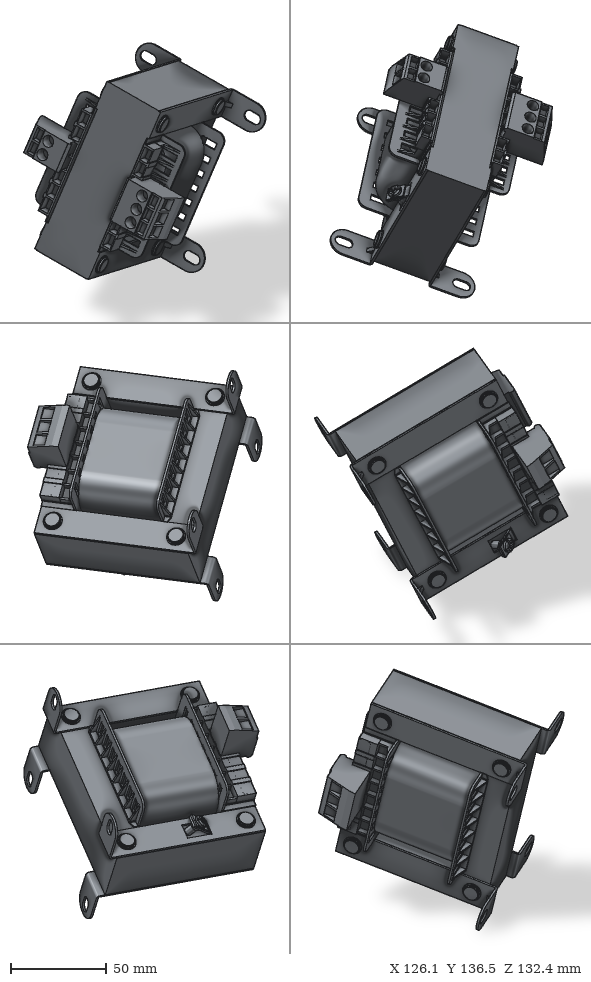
import cadquery as cq
import math


TURN = 43.0
TILT = -23.3

CORE_THICK = 32.0
CORE_DEPTH = 85.2
CORE_HEIGHT = 101.5
CORE_FACE = CORE_THICK / 2
CORE_END = CORE_DEPTH / 2
WINDOW_HALF_HEIGHT = 34.2

SHEET = 1.2
STRAP_FACE = CORE_FACE + SHEET
STRAP_WIDTH = 16.1
STRAP_Z = 42.4
STRAP_REACH = 47.2
FOOT_TIP = 40.7
BEND_RADIUS = 1.9
FOOT_SLOT_X = 33.4
FOOT_SLOT_LENGTH = 9.8
FOOT_SLOT_WIDTH = 5.7
GUSSET_LEG = 3.3
GUSSET_WIDTH = 2.6

RIVET_Y = 34.2
RIVET_FLANGE_RADIUS = 5.0
RIVET_FLANGE_HEIGHT = 0.7
RIVET_HEAD_RADIUS = 4.4
RIVET_HEIGHT = 2.0
RIVET_CHAMFER = 0.4

COIL_SHIFT = -1.4
COIL_HALF_WIDTH = 27.1
COIL_HALF_HEIGHT = 29.4
COIL_RADIUS = 15.0
FLANGE_INNER = 23.5
FLANGE_OUTER = FLANGE_INNER + SHEET
FLANGE_HALF_WIDTH = 34.0
FLANGE_HALF_HEIGHT = 33.8
FLANGE_RADIUS = 5.0
PITCH = 8.6
PINS = 7
FLANGE_SLOT_INNER = 19.7
FLANGE_SLOT_OUTER = 29.1
FLANGE_SLOT_HEIGHT = 3.7
TRAY_SHIFT = -0.5
TRAY_BASE = 16.5
TRAY_FACE = 17.9
TRAY_HALF_HEIGHT = 31.0
TRAY_LIP = 17.2
FOOT_TRAY_END = 28.3
FOOT_TRAY_CHAMFER = (1.6, 3.3)
TERMINAL_TRAY_END = CORE_END + 0.4
RIB_THICK = 1.1
RIB_OUTER = 30.1
RIB_SHELF = 21.3
RIB_SHELF_START = 27.5

HOUSING_START = 32.7
HOUSING_END = 43.3
HOUSING_FACE = 23.1
HOUSING_STRIP_FACE = 23.8
HOUSING_STRIP_WIDTH = 2.7
HOUSING_HALF_HEIGHT = 30.8
HOUSING_CELL = (17.6, 22.4)
HOUSING_CELL_HEIGHT = 7.5
HOUSING_CELL_DEPTH = 6.8

POLE_PITCH = 8.0
BLOCK_MARGIN = 0.4
BLOCK_INNER = 19.5
BLOCK_BACK = 33.1
BLOCK_FRONT = 51.8
BLOCK_OUTER = 45.8
SLOPE_TOP = (45.3, 36.9)
SLOPE_BOTTOM = 40.6
STEP_X = 34.5
STEP_DEPTH = 0.7
BEAD_RADIUS = 1.6
BEAD_CENTRE = (19.8, 49.9)
WIRE_HOLE_X = 30.2
WIRE_HOLE_DIAMETER = 6.3
WIRE_HOLE_DEPTH = 8.2
POCKET_HEIGHT = 6.8
FRONT_POCKET = (34.9, 39.0)
FRONT_POCKET_DEPTH = 4.1
SCREW_POCKET_Y = (41.3, 48.1)
SCREW_POCKET_FLOOR = 40.5
LOW_BLOCK_Z = 0.0
HIGH_BLOCK_Z = PITCH / 2 + 0.1

EARTH_Z = -42.4
EARTH_WINDOW = (-13.1, 0.8)
EARTH_WINDOW_HEIGHT = 9.0
EARTH_TAB_CENTRE = (-20.8, -7.0)
EARTH_TAB_ANGLE = 50.0
EARTH_TAB_LENGTH = 13.7
EARTH_TAB_WIDTH = 7.1
EARTH_SCREW_OFFSET = 1.6
EARTH_PLATE_LENGTH = 10.5
EARTH_PLATE_WIDTH = 7.8
EARTH_PLATE_THICK = 1.0
EARTH_SCREW_LENGTH = 7.5
EARTH_SCREW_RADIUS = 2.2
EARTH_CONE_HEIGHT = 2.2
EARTH_HEAD_RADIUS = 3.7
EARTH_HEAD_CHAMFER = 1.0
EARTH_HEAD_HEIGHT = 2.2
CROSS_WIDTH = 1.1
CROSS_DEPTH = 1.4


def span_box(x, y, z):
    """Box between the given (low, high) pairs."""
    corner = cq.Workplane("XY").box(x[1] - x[0], y[1] - y[0], z[1] - z[0], centered=False)
    return corner.translate((x[0], y[0], z[0]))


def slab(points, z_middle, thickness):
    """Outline in X and Y, thickened evenly about a height."""
    base = cq.Workplane("XY", origin=(0, 0, z_middle - thickness / 2))
    return base.polyline(points).close().extrude(thickness)


def about(middle, size):
    return (middle - size / 2, middle + size / 2)


def pin_heights(count):
    return [PITCH * (i - (count - 1) / 2) for i in range(count)]


def make_core():
    core = cq.Workplane("XY").box(CORE_THICK, CORE_DEPTH, CORE_HEIGHT)
    window = cq.Workplane("XY").box(CORE_THICK, 2 * FLANGE_OUTER, 2 * WINDOW_HALF_HEIGHT)
    return core.cut(window)


def make_coil():
    coil = cq.Workplane("XY").box(2 * COIL_HALF_WIDTH, 2 * FLANGE_INNER, 2 * COIL_HALF_HEIGHT)
    return coil.edges("|Y").fillet(COIL_RADIUS).translate((COIL_SHIFT, 0, 0))


def make_strap(z_middle):
    """Strap on the +X face with its foot, gusset and two rivets."""
    foot_face = STRAP_REACH - SHEET
    strap = slab(
        [
            (CORE_FACE, -CORE_END),
            (STRAP_FACE, -CORE_END),
            (STRAP_FACE, foot_face),
            (FOOT_TIP, foot_face),
            (FOOT_TIP, STRAP_REACH),
            (CORE_FACE, STRAP_REACH),
        ],
        z_middle,
        STRAP_WIDTH,
    )
    strap = strap.edges("|Z and >Y and <X").fillet(BEND_RADIUS)
    strap = strap.edges("|Y and >X").fillet(STRAP_WIDTH / 2 - 0.01)
    slot = (
        cq.Workplane("XZ", origin=(FOOT_SLOT_X, STRAP_REACH, z_middle))
        .slot2D(FOOT_SLOT_LENGTH, FOOT_SLOT_WIDTH)
        .extrude(SHEET)
    )
    gusset = slab(
        [
            (STRAP_FACE, foot_face),
            (STRAP_FACE + GUSSET_LEG, foot_face),
            (STRAP_FACE, foot_face - GUSSET_LEG),
        ],
        z_middle,
        GUSSET_WIDTH,
    )
    strap = strap.cut(slot).union(gusset)
    for y in (-RIVET_Y, RIVET_Y):
        strap = strap.union(make_rivet(y, z_middle))
    return strap


def make_rivet(y, z):
    seat = cq.Workplane("YZ", origin=(STRAP_FACE, y, z))
    head = seat.circle(RIVET_HEAD_RADIUS).extrude(RIVET_HEIGHT).faces(">X").chamfer(RIVET_CHAMFER)
    return head.union(seat.circle(RIVET_FLANGE_RADIUS).extrude(RIVET_FLANGE_HEIGHT))


def make_flange():
    """Bobbin flange on the +Y end, with a row of slots on both sides of the core."""
    flange = (
        cq.Workplane("XY")
        .box(2 * FLANGE_HALF_WIDTH, SHEET, 2 * FLANGE_HALF_HEIGHT)
        .edges("|Y")
        .fillet(FLANGE_RADIUS)
        .translate((COIL_SHIFT, FLANGE_INNER + SHEET / 2, 0))
    )
    for z in pin_heights(PINS):
        for x in ((FLANGE_SLOT_INNER, FLANGE_SLOT_OUTER), (-FLANGE_SLOT_OUTER, -FLANGE_SLOT_INNER)):
            flange = flange.cut(span_box(x, (FLANGE_INNER, FLANGE_OUTER), about(z, FLANGE_SLOT_HEIGHT)))
    return flange


def make_foot_tray():
    """Bobbin floor and ribs beyond the +Y flange, on the +X side."""
    chamfer_y, chamfer_z = FOOT_TRAY_CHAMFER
    floor = (
        cq.Workplane("YZ", origin=(TRAY_BASE, 0, 0))
        .moveTo(FLANGE_INNER, -WINDOW_HALF_HEIGHT)
        .lineTo(FOOT_TRAY_END - chamfer_y, -WINDOW_HALF_HEIGHT)
        .lineTo(FOOT_TRAY_END, chamfer_z - WINDOW_HALF_HEIGHT)
        .lineTo(FOOT_TRAY_END, WINDOW_HALF_HEIGHT - chamfer_z)
        .lineTo(FOOT_TRAY_END - chamfer_y, WINDOW_HALF_HEIGHT)
        .lineTo(FLANGE_INNER, WINDOW_HALF_HEIGHT)
        .close()
    )
    tray = floor.extrude(TRAY_LIP - TRAY_BASE)
    tray = tray.union(
        span_box(
            (TRAY_BASE, TRAY_FACE),
            (FLANGE_INNER, FOOT_TRAY_END),
            (-TRAY_HALF_HEIGHT, TRAY_HALF_HEIGHT),
        )
    )
    for z in pin_heights(PINS + 1):
        outline = [
            (TRAY_BASE, FLANGE_OUTER),
            (RIB_OUTER, FLANGE_OUTER),
            (TRAY_FACE, FOOT_TRAY_END),
            (TRAY_BASE, FOOT_TRAY_END),
        ]
        tray = tray.union(slab(outline, z, RIB_THICK))
    return tray


def make_terminal_tray():
    """Bobbin floor, ribs and pin housing beyond the -Y flange, on the +X side."""
    tray = span_box(
        (TRAY_BASE, TRAY_LIP),
        (-TERMINAL_TRAY_END, -FLANGE_INNER),
        (-WINDOW_HALF_HEIGHT, WINDOW_HALF_HEIGHT),
    )
    tray = tray.union(
        span_box(
            (TRAY_BASE, TRAY_FACE),
            (-HOUSING_END, -FLANGE_INNER),
            (-TRAY_HALF_HEIGHT, TRAY_HALF_HEIGHT),
        )
    )
    for z in pin_heights(PINS + 1):
        outline = [
            (TRAY_BASE, -FLANGE_OUTER),
            (RIB_OUTER, -FLANGE_OUTER),
            (RIB_SHELF, -RIB_SHELF_START),
            (RIB_SHELF, -HOUSING_START),
            (TRAY_BASE, -HOUSING_START),
        ]
        tray = tray.union(slab(outline, z, RIB_THICK))
    tray = tray.union(make_housing())
    for z in pin_heights(PINS):
        cell_y = (-HOUSING_END, HOUSING_CELL_DEPTH - HOUSING_END)
        tray = tray.cut(span_box(HOUSING_CELL, cell_y, about(z, HOUSING_CELL_HEIGHT)))
    return tray


def make_housing():
    housing_y = (-HOUSING_END, -HOUSING_START)
    housing = span_box(
        (TRAY_BASE, HOUSING_FACE), housing_y, (-HOUSING_HALF_HEIGHT, HOUSING_HALF_HEIGHT)
    )
    for z in pin_heights(PINS - 1):
        strip = span_box((TRAY_BASE, HOUSING_STRIP_FACE), housing_y, about(z, HOUSING_STRIP_WIDTH))
        housing = housing.union(strip)
    return housing


def make_terminal_block(poles, z_middle):
    """Screw terminal block on the +X side."""
    height = poles * POLE_PITCH + 2 * BLOCK_MARGIN
    set_back = BLOCK_FRONT - STEP_DEPTH
    block = slab(
        [
            (BLOCK_INNER, -BLOCK_BACK),
            (BLOCK_OUTER, -BLOCK_BACK),
            (SLOPE_TOP[0], -SLOPE_TOP[1]),
            (SLOPE_BOTTOM, -set_back),
            (STEP_X, -set_back),
            (STEP_X, -BLOCK_FRONT),
            (BLOCK_INNER, -BLOCK_FRONT),
        ],
        z_middle,
        height,
    )
    bead = (
        cq.Workplane("XY", origin=(BEAD_CENTRE[0], -BEAD_CENTRE[1], z_middle - height / 2))
        .circle(BEAD_RADIUS)
        .extrude(height)
    )
    block = block.union(bead)
    for i in range(poles):
        z = z_middle + POLE_PITCH * (i - (poles - 1) / 2)
        wire_hole = (
            cq.Workplane("XZ", origin=(WIRE_HOLE_X, WIRE_HOLE_DEPTH - BLOCK_FRONT, z))
            .circle(WIRE_HOLE_DIAMETER / 2)
            .extrude(WIRE_HOLE_DEPTH)
        )
        pocket_z = about(z, POCKET_HEIGHT)
        front_pocket = span_box(FRONT_POCKET, (-set_back, FRONT_POCKET_DEPTH - set_back), pocket_z)
        screw_pocket = span_box(
            (SCREW_POCKET_FLOOR, BLOCK_OUTER), (-SCREW_POCKET_Y[1], -SCREW_POCKET_Y[0]), pocket_z
        )
        block = block.cut(wire_hole).cut(front_pocket).cut(screw_pocket)
    return block


def earth_window():
    return span_box((-STRAP_FACE, -CORE_FACE), EARTH_WINDOW, about(EARTH_Z, EARTH_WINDOW_HEIGHT))


def make_earth_terminal():
    """Slanting tab with a cross-head screw, modelled flat and then stood on the strap."""
    tab = cq.Workplane("XY").box(EARTH_TAB_LENGTH, EARTH_TAB_WIDTH, SHEET)
    back = -SHEET / 2
    plate_top = SHEET / 2 + EARTH_PLATE_THICK
    plate = span_box(
        about(0, EARTH_PLATE_LENGTH), about(0, EARTH_PLATE_WIDTH), (SHEET / 2, plate_top)
    )
    shank = cq.Workplane("XY").circle(EARTH_SCREW_RADIUS).extrude(-EARTH_SCREW_LENGTH)
    cone = (
        cq.Workplane("XY", origin=(0, 0, back))
        .circle(EARTH_HEAD_RADIUS)
        .workplane(offset=-EARTH_CONE_HEIGHT)
        .circle(EARTH_SCREW_RADIUS)
        .loft()
    )
    seat = cq.Workplane("XY", origin=(0, 0, plate_top))
    head = seat.circle(EARTH_HEAD_RADIUS).extrude(EARTH_HEAD_HEIGHT).faces(">Z").chamfer(EARTH_HEAD_CHAMFER)
    cross = (
        seat.workplane(offset=EARTH_HEAD_HEIGHT - CROSS_DEPTH)
        .rect(2 * EARTH_HEAD_RADIUS, CROSS_WIDTH)
        .extrude(CROSS_DEPTH)
    )
    cross = cross.union(cross.rotate((0, 0, 0), (0, 0, 1), 90))
    screw = plate.union(shank).union(cone).union(head.cut(cross))
    terminal = tab.union(screw.translate((-EARTH_SCREW_OFFSET, 0, 0)))
    upright = terminal.rotate((0, 0, 0), (1, 0, 0), 90)
    slanted = upright.rotate((0, 0, 0), (0, 0, 1), -EARTH_TAB_ANGLE)
    return slanted.translate((*EARTH_TAB_CENTRE, EARTH_Z))


def both_sides(half, shift=0.0):
    """The +X half with its mirror image, moved together along X."""
    return half.union(half.mirror("YZ")).translate((shift, 0, 0))


part = make_core().union(make_coil())
flange = make_flange()
part = part.union(flange).union(flange.mirror("XZ"))
for strap_z in (-STRAP_Z, STRAP_Z):
    part = part.union(both_sides(make_strap(strap_z)))
part = part.union(both_sides(make_foot_tray(), TRAY_SHIFT))
part = part.union(both_sides(make_terminal_tray(), TRAY_SHIFT))
terminal_blocks = make_terminal_block(3, LOW_BLOCK_Z)
terminal_blocks = terminal_blocks.union(make_terminal_block(2, HIGH_BLOCK_Z).mirror("YZ"))
part = part.union(terminal_blocks.translate((TRAY_SHIFT, 0, 0)))
part = part.cut(earth_window()).union(make_earth_terminal())

result = part.rotate((0, 0, 0), (0, 0, 1), TURN).rotate((0, 0, 0), (1, 0, 0), TILT)